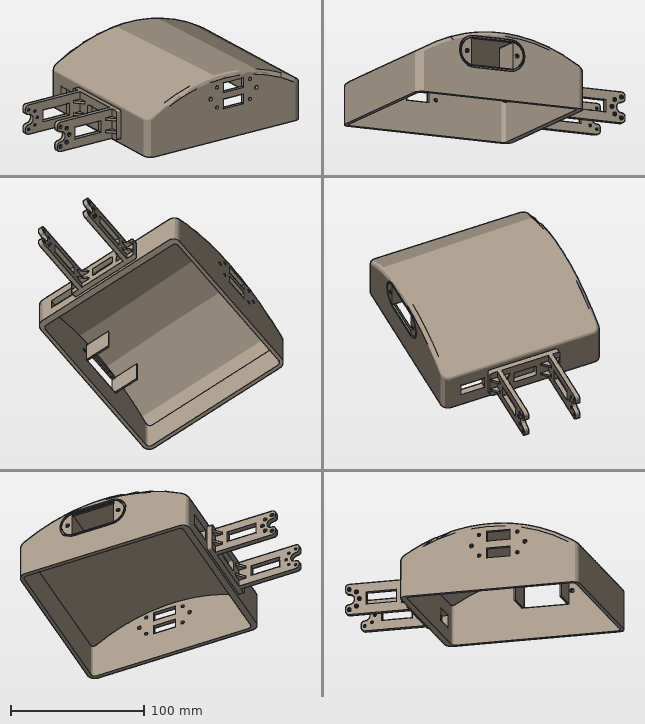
import cadquery as cq
import math


HOUSING_WIDTH = 130.0
HOUSING_LENGTH = 140.0
HOUSING_HEIGHT = 52.4
EAVE_HEIGHT = 30.7
CORNER_RADIUS = 6.0
ROOF_EDGE_RADIUS = 3.1
WALL = 3.0
FRONT_WALL = 5.0

CABLE_WINDOW_WIDTH = 19.4
CABLE_WINDOW_HEIGHT = 9.7
CABLE_WINDOW_X = -41.1

MOUNT_Y = 77.8
MOUNT_Z = 35.1
MOUNT_END_SPACING = 30.0
RECESS_HEIGHT = 24.5
RECESS_DEPTH = 1.5
MOUNT_GAP = 1.45
MOUNT_OPENING_LENGTH = 34.5
MOUNT_OPENING_HEIGHT = 21.0
CHEEK_THICKNESS = 1.2
CHEEK_DEPTH = 23.3
MOUNT_SCREW_DIAMETER = 3.0
MOUNT_SCREW_SPACING = 41.7

VENT_LENGTH = 18.2
VENT_BAR_HEIGHT = 5.5
SMALL_SCREW_DIAMETER = 2.5
SMALL_SCREW_SPACING_Z = 16.3

BRACKET_Z = 15.3
BRACKET_WIDTH = 57.6
BRACKET_HEIGHT = 23.9
BRACKET_REACH = 194.0 - HOUSING_LENGTH
BASE_THICKNESS = 4.0
BASE_CORNER_RADIUS = 2.0
BASE_WINDOW_WIDTH = 18.6
BASE_WINDOW_HEIGHT = 9.7
BASE_WINDOW_RADIUS = 1.5
ARM_THICKNESS = 3.7
ARM_SPACING = 42.1
ARM_WINDOW_LENGTH = 23.9
ARM_WINDOW_HEIGHT = 9.5
ARM_WINDOW_FROM_TIP = 16.1
PRONG_RADIUS = 3.0
NOTCH_RADIUS = 4.0
PIN_CIRCLE_RADIUS = 8.0
PIN_HOLE_ANGLES = (-90, -45, 0, 45, 90)
PIN_HOLE_DIAMETER = 2.0
PIN_COUNTERBORE_DIAMETER = 3.0
RIB_LEG = 6.0
RIB_INNER_LEG = 6.5
RIB_THICKNESS = 2.0
RIB_OFFSET_Z = 5.0

LEFT_X = -HOUSING_WIDTH / 2
RIGHT_X = HOUSING_WIDTH / 2
MIDDLE_Y = HOUSING_LENGTH / 2
ROOF_RISE = HOUSING_HEIGHT - EAVE_HEIGHT
ROOF_RADIUS = (MIDDLE_Y**2 + ROOF_RISE**2) / (2 * ROOF_RISE)
ROOF_CENTER_Z = HOUSING_HEIGHT - ROOF_RADIUS
PLATE_HEIGHT = RECESS_HEIGHT - 2 * MOUNT_GAP
SLOT_LENGTH = MOUNT_OPENING_LENGTH + 2 * CHEEK_THICKNESS
TIP_Y = -BRACKET_REACH


def block(x_range, y_range, z_range):
    """Box spanning the given (low, high) pairs."""
    size = [high - low for low, high in (x_range, y_range, z_range)]
    corner = (x_range[0], y_range[0], z_range[0])
    return cq.Workplane("XY").box(*size, centered=False).translate(corner)


def around(middle, length):
    """(low, high) pair of the given length about a middle value."""
    return (middle - length / 2, middle + length / 2)


def along_x(x_range, points, diameter):
    """Cylinders along X at the given (y, z) points."""
    start, end = x_range
    return (
        cq.Workplane("YZ", origin=(start, 0, 0))
        .pushPoints(points)
        .circle(diameter / 2)
        .extrude(end - start)
    )


def oval(height, x_range):
    """Block with round ends about the mount's middle, its long axis along Y."""
    start, end = x_range
    return (
        cq.Workplane("YZ", origin=(start, MOUNT_Y, MOUNT_Z))
        .slot2D(MOUNT_END_SPACING + height, height)
        .extrude(end - start)
    )


def arched_block(width, front_y, rear_y, roof_radius, corner_radius):
    """Block with vertical walls and a roof arched along Y."""
    def roof_z(y):
        return ROOF_CENTER_Z + math.sqrt(roof_radius**2 - (y - MIDDLE_Y) ** 2)

    return (
        cq.Workplane("YZ")
        .moveTo(front_y, 0)
        .lineTo(front_y, roof_z(front_y))
        .threePointArc((MIDDLE_Y, ROOF_CENTER_Z + roof_radius), (rear_y, roof_z(rear_y)))
        .lineTo(rear_y, 0)
        .close()
        .extrude(width / 2, both=True)
        .edges("|Z")
        .fillet(corner_radius)
    )


def mount_screw_points():
    """(y, z) centres of the two screws beside the mount opening."""
    return [(y, MOUNT_Z) for y in around(MOUNT_Y, MOUNT_SCREW_SPACING)]


def housing_shell():
    outside = arched_block(HOUSING_WIDTH, 0, HOUSING_LENGTH, ROOF_RADIUS, CORNER_RADIUS)
    roof = cq.selectors.NearestToPointSelector((0, MIDDLE_Y, HOUSING_HEIGHT))
    outside = outside.faces(roof).edges().fillet(ROOF_EDGE_RADIUS)
    inside = arched_block(
        HOUSING_WIDTH - 2 * WALL,
        FRONT_WALL,
        HOUSING_LENGTH - WALL,
        ROOF_RADIUS - WALL,
        CORNER_RADIUS - WALL,
    )
    return outside.cut(inside)


def cable_window():
    return block(
        around(CABLE_WINDOW_X, CABLE_WINDOW_WIDTH),
        (0, FRONT_WALL),
        around(BRACKET_Z, CABLE_WINDOW_HEIGHT),
    )


def mount_seat():
    """Oval recess in the left wall, with the slot and screw holes in its floor."""
    through_wall = (LEFT_X, LEFT_X + WALL)
    slot = block(through_wall, around(MOUNT_Y, SLOT_LENGTH), around(MOUNT_Z, MOUNT_OPENING_HEIGHT))
    recess = oval(RECESS_HEIGHT, (LEFT_X, LEFT_X + RECESS_DEPTH))
    screws = along_x(through_wall, mount_screw_points(), MOUNT_SCREW_DIAMETER)
    return recess.union(slot).union(screws)


def right_wall_openings():
    """Two vents, four small screw holes and the two mount screws' far holes."""
    through_wall = (RIGHT_X - WALL, RIGHT_X)
    vent_span = around(MOUNT_Y, VENT_LENGTH)
    bar = block(through_wall, vent_span, around(MOUNT_Z, VENT_BAR_HEIGHT))
    vents = block(through_wall, vent_span, around(MOUNT_Z, MOUNT_OPENING_HEIGHT)).cut(bar)
    small_points = [
        (y, z)
        for y in around(MOUNT_Y, MOUNT_END_SPACING)
        for z in around(MOUNT_Z, SMALL_SCREW_SPACING_Z)
    ]
    small_screws = along_x(through_wall, small_points, SMALL_SCREW_DIAMETER)
    mount_screws = along_x(through_wall, mount_screw_points(), MOUNT_SCREW_DIAMETER)
    return vents.union(small_screws).union(mount_screws)


def make_housing():
    return housing_shell().cut(cable_window()).cut(mount_seat()).cut(right_wall_openings())


def make_mount():
    """Oval plate in the recess, with a cheek on each side of its opening."""
    plate_span = (LEFT_X, LEFT_X + RECESS_DEPTH)
    full_span = (LEFT_X, LEFT_X + CHEEK_DEPTH)
    opening_z = around(MOUNT_Z, MOUNT_OPENING_HEIGHT)
    cheek_span = (LEFT_X + RECESS_DEPTH, LEFT_X + CHEEK_DEPTH)
    cheeks = block(cheek_span, around(MOUNT_Y, SLOT_LENGTH), opening_z)
    opening = block(full_span, around(MOUNT_Y, MOUNT_OPENING_LENGTH), opening_z)
    screws = along_x(plate_span, mount_screw_points(), MOUNT_SCREW_DIAMETER)
    return oval(PLATE_HEIGHT, plate_span).union(cheeks).cut(opening).cut(screws)


def bracket_base():
    base = block(
        around(0, BRACKET_WIDTH), (-BASE_THICKNESS, 0), around(BRACKET_Z, BRACKET_HEIGHT)
    )
    window = block(
        around(0, BASE_WINDOW_WIDTH), (-BASE_THICKNESS, 0), around(BRACKET_Z, BASE_WINDOW_HEIGHT)
    )
    base = base.edges("|Y").fillet(BASE_CORNER_RADIUS)
    return base.cut(window.edges("|Y").fillet(BASE_WINDOW_RADIUS))


def arm_blade(span):
    """Arm without its holes: two rounded prongs at the tip, with a round notch between them."""
    start, end = span
    half_height = BRACKET_HEIGHT / 2
    bend_y = TIP_Y + PRONG_RADIUS
    arc_reach = PRONG_RADIUS * (1 - math.sqrt(0.5))
    arc_y = TIP_Y + arc_reach
    return (
        cq.Workplane("YZ", origin=(start, 0, BRACKET_Z))
        .moveTo(-BASE_THICKNESS, half_height)
        .lineTo(bend_y, half_height)
        .threePointArc((arc_y, half_height - arc_reach), (TIP_Y, half_height - PRONG_RADIUS))
        .lineTo(TIP_Y, NOTCH_RADIUS + PRONG_RADIUS)
        .threePointArc((arc_y, NOTCH_RADIUS + arc_reach), (bend_y, NOTCH_RADIUS))
        .threePointArc((bend_y + NOTCH_RADIUS, 0), (bend_y, -NOTCH_RADIUS))
        .threePointArc((arc_y, -NOTCH_RADIUS - arc_reach), (TIP_Y, -NOTCH_RADIUS - PRONG_RADIUS))
        .lineTo(TIP_Y, PRONG_RADIUS - half_height)
        .threePointArc((arc_y, arc_reach - half_height), (bend_y, -half_height))
        .lineTo(-BASE_THICKNESS, -half_height)
        .close()
        .extrude(end - start)
    )


def arm(side):
    """One arm of the fork: side is -1 for the left arm and +1 for the right arm."""
    middle_x = side * ARM_SPACING / 2
    span = around(middle_x, ARM_THICKNESS)
    outer_half = sorted((middle_x, middle_x + side * ARM_THICKNESS / 2))
    notch_y = TIP_Y + PRONG_RADIUS
    window_y = TIP_Y + ARM_WINDOW_FROM_TIP

    blade = arm_blade(span)
    window = block(
        span, (window_y, window_y + ARM_WINDOW_LENGTH), around(BRACKET_Z, ARM_WINDOW_HEIGHT)
    )

    pin_points = [
        (
            notch_y + PIN_CIRCLE_RADIUS * math.cos(math.radians(angle)),
            BRACKET_Z + PIN_CIRCLE_RADIUS * math.sin(math.radians(angle)),
        )
        for angle in PIN_HOLE_ANGLES
    ]
    pins = along_x(span, pin_points, PIN_HOLE_DIAMETER)
    counterbores = along_x(outer_half, pin_points, PIN_COUNTERBORE_DIAMETER)
    return blade.cut(window).cut(pins).cut(counterbores)


def ribs(side):
    """Four triangular ribs that brace one arm against the base."""
    inner_x, outer_x = around(ARM_SPACING / 2, ARM_THICKNESS)
    corner_y = -BASE_THICKNESS
    outline = [
        (side * (inner_x - RIB_INNER_LEG), corner_y),
        (side * (outer_x + RIB_LEG), corner_y),
        (side * outer_x, corner_y - RIB_LEG),
        (side * inner_x, corner_y - RIB_LEG),
    ]
    lower, upper = [
        cq.Workplane("XY", origin=(0, 0, BRACKET_Z + offset))
        .polyline(outline)
        .close()
        .extrude(RIB_THICKNESS / 2, both=True)
        for offset in (-RIB_OFFSET_Z, RIB_OFFSET_Z)
    ]
    return lower.union(upper)


def make_bracket():
    bracket = bracket_base()
    for side in (-1, 1):
        bracket = bracket.union(arm(side)).union(ribs(side))
    return bracket


housing = make_housing()
mount = make_mount()
bracket = make_bracket()

result = cq.Compound.makeCompound(
    [housing.solids().val(), mount.solids().val(), bracket.solids().val()]
)